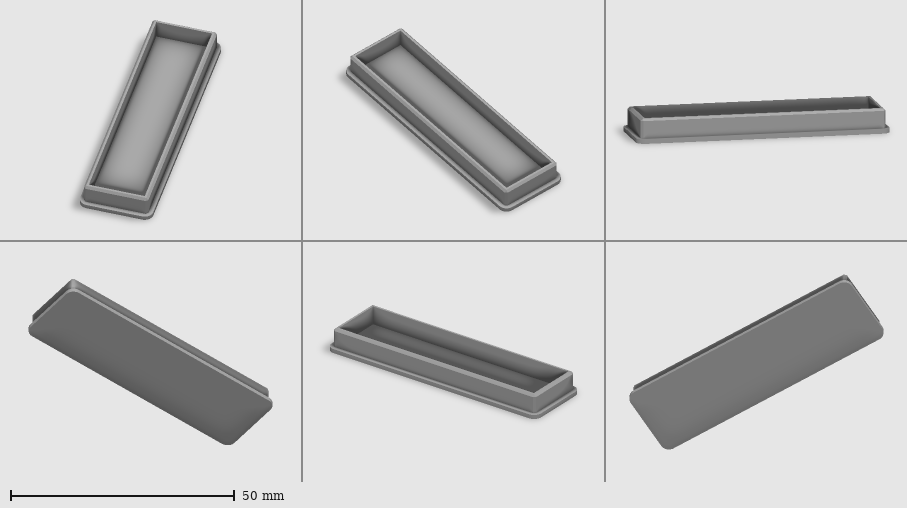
import cadquery as cq

flange_width = 17.0
flange_length = 58.0
flange_thickness = 1.0
flange_corner_radius = 2.0

total_height = 5.5
flange_overhang = 1.0
tray_width = flange_width - 2 * flange_overhang
tray_length = flange_length - 2 * flange_overhang
tray_height = total_height - flange_thickness
outer_chamfer = 0.5

wall_thickness = 1.0
floor_thickness = 1.0
cavity_width = tray_width - 2 * wall_thickness
cavity_length = tray_length - 2 * wall_thickness
cavity_depth = total_height - floor_thickness


def block(width, length, height, base_z):
    """Box centred on the Z axis, with its underside at base_z."""
    return cq.Workplane("XY", origin=(0, 0, base_z)).box(
        width, length, height, centered=(True, True, False)
    )


def make_flange():
    """Base plate with rounded vertical corners."""
    plate = block(flange_width, flange_length, flange_thickness, 0)
    return plate.edges("|Z").fillet(flange_corner_radius)


def make_tray_body():
    """Solid box chamfered along its vertical corners and top rim."""
    body = block(tray_width, tray_length, tray_height, flange_thickness)
    return body.edges("|Z or >Z").chamfer(outer_chamfer)


def make_cavity():
    """Volume removed from the tray to leave the walls and floor."""
    return block(cavity_width, cavity_length, cavity_depth, floor_thickness)


result = make_flange().union(make_tray_body()).cut(make_cavity())